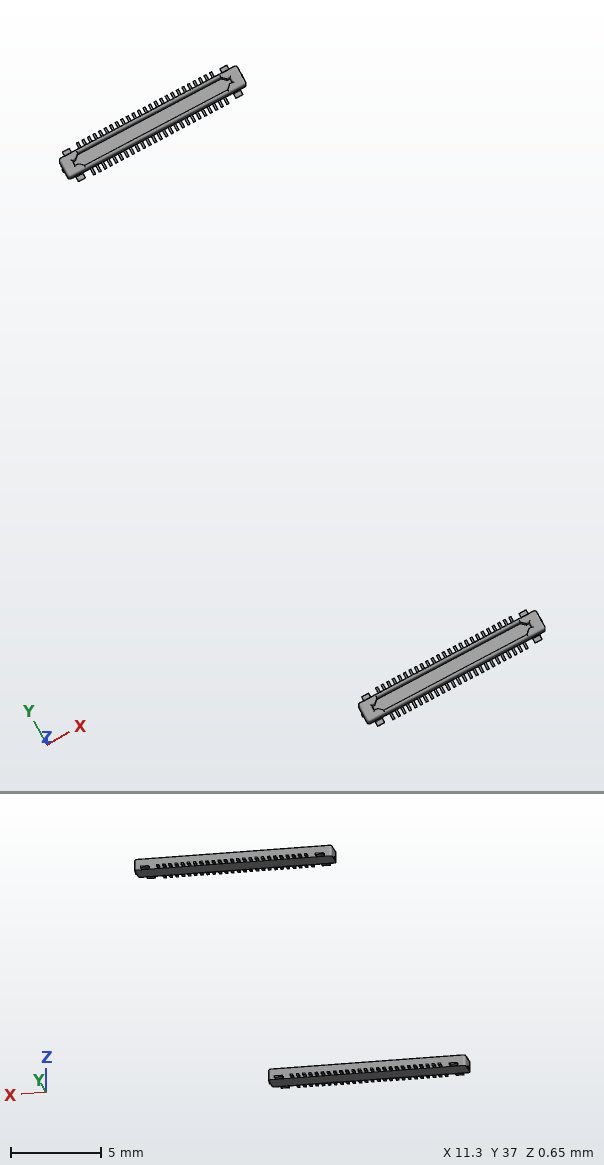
import cadquery as cq

OVERALL_Y = 37.02

OVERALL_X = 11.33
NUB_DEPTH = 0.055
BODY_LENGTH = OVERALL_X - 2 * NUB_DEPTH
BODY_WIDTH = 1.22
BODY_HEIGHT = 0.65
WALL = 0.22
EDGE_RADIUS = WALL / 2
CORNER_RADIUS = 0.15
FLOOR = 0.2

TROUGH_HALF_LENGTH = 4.5
CHANNEL_START_X = 4.78
CHANNEL_END_X = 4.95
CHANNEL_WIDTH = 0.3
CHANNEL_RIM_RADIUS = 0.07

LEADS_PER_SIDE = 25
LEAD_PITCH = 0.35
LEAD_WIDTH = 0.13
LEAD_SPAN = 2.05
FOOT_THICKNESS = 0.07
FOOT_LIFT = 0.02

TAB_CENTER_X = 4.95
TAB_WIDTH = 0.45
TAB_SPAN = 1.9
TAB_RAMP_LENGTH = 0.055

NUB_WIDTH = 0.15
ROOT_HEIGHT = 0.15

TROUGH_WIDTH = BODY_WIDTH - 2 * WALL
CONNECTOR_Y = (OVERALL_Y - LEAD_SPAN) / 2


def block(length, width, height, x=0, y=0):
    """Box standing on Z = 0, centred at (x, y)."""
    return cq.Workplane("XY").center(x, y).rect(length, width).extrude(height)


def make_outer_block():
    """Body block with rounded corners and a rounded top at the two ends."""
    body = block(BODY_LENGTH, BODY_WIDTH, BODY_HEIGHT)
    body = body.edges("|Z").fillet(CORNER_RADIUS)
    return body.faces(">Z").edges().fillet(EDGE_RADIUS)


def make_round_wall(side):
    """Middle stretch of one long wall, with a fully round top."""
    outer = side * BODY_WIDTH / 2
    inner = side * TROUGH_WIDTH / 2
    crest = (outer + inner) / 2
    shoulder = BODY_HEIGHT - EDGE_RADIUS
    return (
        cq.Workplane("YZ", origin=(-TROUGH_HALF_LENGTH, 0, 0))
        .moveTo(outer, 0)
        .lineTo(outer, shoulder)
        .threePointArc((crest, BODY_HEIGHT), (inner, shoulder))
        .lineTo(inner, 0)
        .close()
        .extrude(2 * TROUGH_HALF_LENGTH)
    )


def make_funnel(end):
    """Cutter for the tapered stretch between the trough and the channel at one end."""
    half_trough = TROUGH_WIDTH / 2
    half_channel = CHANNEL_WIDTH / 2
    return (
        cq.Workplane("XY", origin=(0, 0, FLOOR))
        .polyline([
            (end * TROUGH_HALF_LENGTH, -half_trough),
            (end * CHANNEL_START_X, -half_channel),
            (end * CHANNEL_START_X, half_channel),
            (end * TROUGH_HALF_LENGTH, half_trough),
        ])
        .close()
        .extrude(BODY_HEIGHT - FLOOR)
    )


def cut_channel(body, end):
    """Cut the narrow channel and round its top rim."""
    length = CHANNEL_END_X - TROUGH_HALF_LENGTH
    middle = end * (CHANNEL_END_X + TROUGH_HALF_LENGTH) / 2
    channel = block(length, CHANNEL_WIDTH, BODY_HEIGHT, middle).translate((0, 0, FLOOR))
    body = body.cut(channel)
    rim = cq.selectors.BoxSelector(
        (end * (TROUGH_HALF_LENGTH - EDGE_RADIUS), -CHANNEL_WIDTH, BODY_HEIGHT - EDGE_RADIUS / 2),
        (end * (CHANNEL_END_X + EDGE_RADIUS), CHANNEL_WIDTH, BODY_HEIGHT + EDGE_RADIUS),
    )
    return body.edges(rim).fillet(CHANNEL_RIM_RADIUS)


def make_body():
    """Insulating body with its cavity."""
    body = make_outer_block()
    for end in (-1, 1):
        body = cut_channel(body, end)
        body = body.cut(make_funnel(end))

    middle_gap = block(2 * TROUGH_HALF_LENGTH, BODY_WIDTH, BODY_HEIGHT).translate((0, 0, FLOOR))
    body = body.cut(middle_gap)
    for side in (-1, 1):
        body = body.union(make_round_wall(side))

    nubs = block(OVERALL_X, NUB_WIDTH, ROOT_HEIGHT)
    return body.union(nubs)


def make_leads():
    """Contact leads, each a flat strip passing through the body."""
    lead_row = (LEADS_PER_SIDE - 1) * LEAD_PITCH
    return [
        block(LEAD_WIDTH, LEAD_SPAN, FOOT_THICKNESS, index * LEAD_PITCH - lead_row / 2)
        .translate((0, 0, FOOT_LIFT))
        for index in range(LEADS_PER_SIDE)
    ]


def make_tab_pair(end):
    """Two opposite solder tabs as one strip through the body, sloping up where they meet it."""
    tip = TAB_SPAN / 2
    root = BODY_WIDTH / 2
    ramp_foot = root + TAB_RAMP_LENGTH
    top = FOOT_LIFT + FOOT_THICKNESS
    return (
        cq.Workplane("YZ", origin=(end * TAB_CENTER_X - TAB_WIDTH / 2, 0, 0))
        .polyline([
            (-tip, FOOT_LIFT),
            (-tip, top),
            (-ramp_foot, top),
            (-root, ROOT_HEIGHT),
            (root, ROOT_HEIGHT),
            (ramp_foot, top),
            (tip, top),
            (tip, FOOT_LIFT),
        ])
        .close()
        .extrude(TAB_WIDTH)
    )


def make_connector(y):
    """One complete connector as a single solid, centred at the given Y."""
    connector = make_body()
    for lead in make_leads():
        connector = connector.union(lead)
    for end in (-1, 1):
        connector = connector.union(make_tab_pair(end))
    return connector.translate((0, y, 0)).solids().val()


connectors = [make_connector(side * CONNECTOR_Y) for side in (-1, 1)]

result = cq.Compound.makeCompound(connectors)